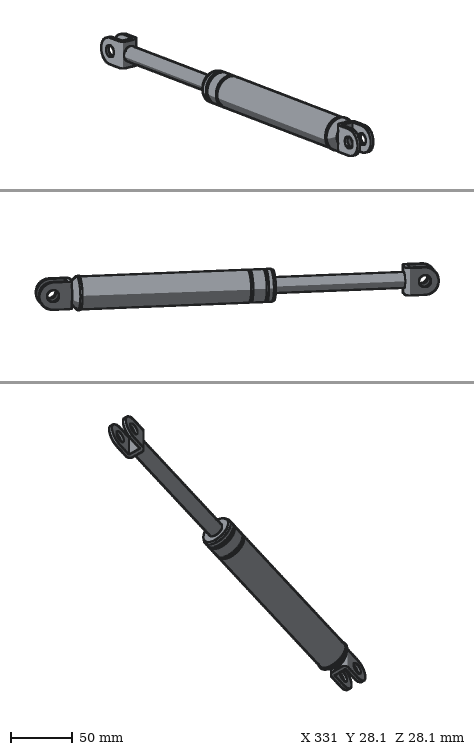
import cadquery as cq

TOTAL_LENGTH = 331.0

CLEVIS_LENGTH = 27.5
CLEVIS_HEIGHT = 23.0
CLEVIS_WIDTH = 17.0
ARM_THICKNESS = 3.0
BACK_THICKNESS = 4.0
BEND_RADIUS = 4.0
EYE_DIAMETER = 10.0
EYE_OFFSET = CLEVIS_HEIGHT / 2

ROD_RADIUS = 6.5
ROD_DEPTH_IN_TUBE = 21.0

TUBE_RADIUS = 13.5
TUBE_START = 135.7
SECTION_STARTS = [TUBE_START, 141.7, 154.5]
BEVEL_LENGTH = 2.0
BEVEL_DEPTH = 1.0

COLLAR_RADIUS = 14.07
COLLAR_START = 296.2
COLLAR_END = 298.2
DOME_END = TOTAL_LENGTH - CLEVIS_LENGTH
DOME_END_RADIUS = 8.0
DOME_MID = (301.0, 11.5)


def make_clevis():
    """U-shaped fork with its rounded tip at X = 0 and its back facing +X."""
    arm_radius = CLEVIS_HEIGHT / 2
    inner_length = CLEVIS_LENGTH - BACK_THICKNESS
    inner_width = CLEVIS_WIDTH - 2 * ARM_THICKNESS
    fork = (
        cq.Workplane("XZ")
        .moveTo(EYE_OFFSET, arm_radius)
        .lineTo(CLEVIS_LENGTH, arm_radius)
        .lineTo(CLEVIS_LENGTH, -arm_radius)
        .lineTo(EYE_OFFSET, -arm_radius)
        .threePointArc((0, 0), (EYE_OFFSET, arm_radius))
        .close()
        .extrude(CLEVIS_WIDTH / 2, both=True)
    )
    fork = fork.edges("|Z and >X").fillet(BEND_RADIUS)
    gap = cq.Workplane("XY").box(
        inner_length, inner_width, CLEVIS_HEIGHT, centered=(False, True, True)
    )
    eye = (
        cq.Workplane("XZ")
        .center(EYE_OFFSET, 0)
        .circle(EYE_DIAMETER / 2)
        .extrude(CLEVIS_WIDTH, both=True)
    )
    return fork.cut(gap).cut(eye)


def make_rod_cylinder(start, end):
    return cq.Workplane("YZ", origin=(start, 0, 0)).circle(ROD_RADIUS).extrude(end - start)


def make_rod():
    """Piston rod with its clevis."""
    shaft = make_rod_cylinder(CLEVIS_LENGTH, TUBE_START + ROD_DEPTH_IN_TUBE)
    return make_clevis().union(shaft)


def make_tube():
    """Cylinder tube with stepped front sections, domed end and clevis."""
    profile = cq.Workplane("XY").moveTo(TUBE_START, 0)
    section_ends = SECTION_STARTS[1:] + [COLLAR_START]
    for start, end in zip(SECTION_STARTS, section_ends):
        profile = profile.lineTo(start, TUBE_RADIUS - BEVEL_DEPTH)
        profile = profile.lineTo(start + BEVEL_LENGTH, TUBE_RADIUS)
        profile = profile.lineTo(end, TUBE_RADIUS)
    profile = (
        profile.lineTo(COLLAR_START, COLLAR_RADIUS)
        .lineTo(COLLAR_END, COLLAR_RADIUS)
        .threePointArc(DOME_MID, (DOME_END, DOME_END_RADIUS))
        .lineTo(DOME_END, 0)
        .close()
    )
    barrel = profile.revolve(360, (0, 0, 0), (1, 0, 0))
    end_clevis = make_clevis().mirror("YZ").translate((TOTAL_LENGTH, 0, 0))
    rod_bore = make_rod_cylinder(TUBE_START, TUBE_START + ROD_DEPTH_IN_TUBE)
    return barrel.union(end_clevis).cut(rod_bore)


rod = make_rod()
tube = make_tube()

result = cq.Compound.makeCompound([rod.val(), tube.val()])